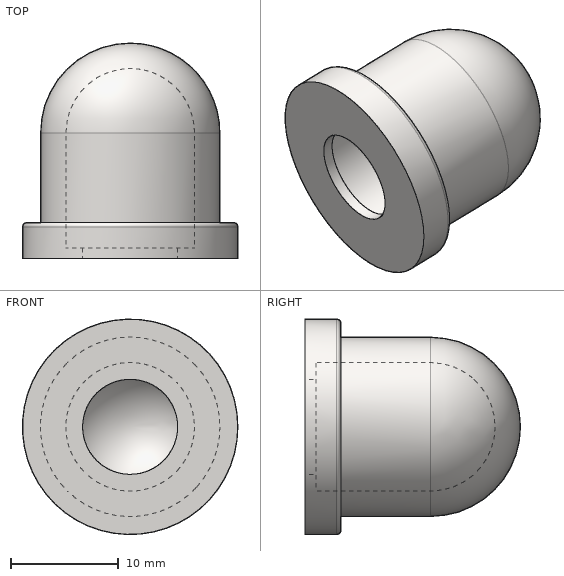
import cadquery as cq
import math

overall_length = 20.0
flange_radius = 20.0 / 2
body_radius = 16.65 / 2
flange_thickness = overall_length - 2 * body_radius
flange_fillet = 0.4

mouth_radius = 8.82 / 2
mouth_depth = 1.0
chamber_radius = 11.95 / 2

dome_start = overall_length - body_radius
diagonal = math.sqrt(0.5)


def domed_cylinder(radius, start):
    """Cylinder from y = start, closed by a hemisphere centred at dome_start."""
    return (
        cq.Workplane("XY")
        .moveTo(0, start)
        .lineTo(radius, start)
        .lineTo(radius, dome_start)
        .threePointArc(
            (radius * diagonal, dome_start + radius * diagonal),
            (0, dome_start + radius),
        )
        .close()
        .revolve(360, (0, 0, 0), (0, 1, 0))
    )


def disc(radius, thickness):
    """Disc standing on the flange face and reaching toward +Y."""
    return cq.Workplane("XZ").circle(radius).extrude(-thickness)


flange = disc(flange_radius, flange_thickness).faces(">Y").edges().fillet(flange_fillet)
body = domed_cylinder(body_radius, 0)
mouth = disc(mouth_radius, mouth_depth)
chamber = domed_cylinder(chamber_radius, mouth_depth)

result = flange.union(body).cut(mouth).cut(chamber)